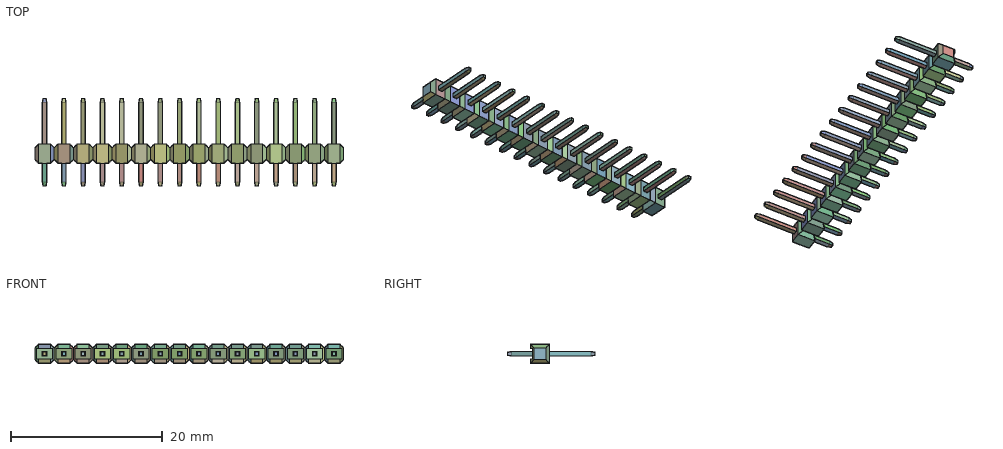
import cadquery as cq

row_length = 40.65
pin_count = 16
pitch = row_length / pin_count

bevel_width = 0.5
groove_height = 1.35
groove_depth = 0.3

pin_width = 0.6
tip_width = 0.4
tip_length = 0.53
front_pin_length = 3.0
pin_length = 11.55

block_front = -pitch / 2
pin_front = block_front - front_pin_length
pin_rear = pin_front + pin_length


def bevelled_prism(plane):
    """Octagonal prism, one pitch thick, with its narrow ends facing along X."""
    half = pitch / 2
    inner = half - bevel_width
    outline = [
        (-inner, -half),
        (inner, -half),
        (half, -inner),
        (half, inner),
        (inner, half),
        (-inner, half),
        (-half, inner),
        (-half, -inner),
    ]
    return cq.Workplane(plane).polyline(outline).close().extrude(half, both=True)


def make_block():
    """Block bevelled toward both neighbours, with a groove along its front face."""
    block = bevelled_prism("XY").intersect(bevelled_prism("XZ"))
    groove = (
        cq.Workplane("XY")
        .box(pitch, 2 * groove_depth, groove_height)
        .translate((0, block_front, 0))
    )
    return block.cut(groove)


def make_tip(base_y, direction):
    """Tapered pin end starting at base_y and pointing along direction (+1 or -1) in Y."""
    return (
        cq.Workplane("XZ", origin=(0, base_y, 0))
        .rect(pin_width, pin_width)
        .workplane(offset=-direction * tip_length)
        .rect(tip_width, tip_width)
        .loft(combine=True)
    )


def make_pin():
    """Square pin running through the block, tapered at both ends."""
    shank_front = pin_front + tip_length
    shank_rear = pin_rear - tip_length
    shank = (
        cq.Workplane("XZ", origin=(0, shank_front, 0))
        .rect(pin_width, pin_width)
        .extrude(shank_front - shank_rear)
    )
    return shank.union(make_tip(shank_front, -1)).union(make_tip(shank_rear, 1))


header_position = make_block().union(make_pin())
first_x = -(row_length - pitch) / 2

result = header_position.translate((first_x, 0, 0))
for index in range(1, pin_count):
    result = result.union(header_position.translate((first_x + index * pitch, 0, 0)))